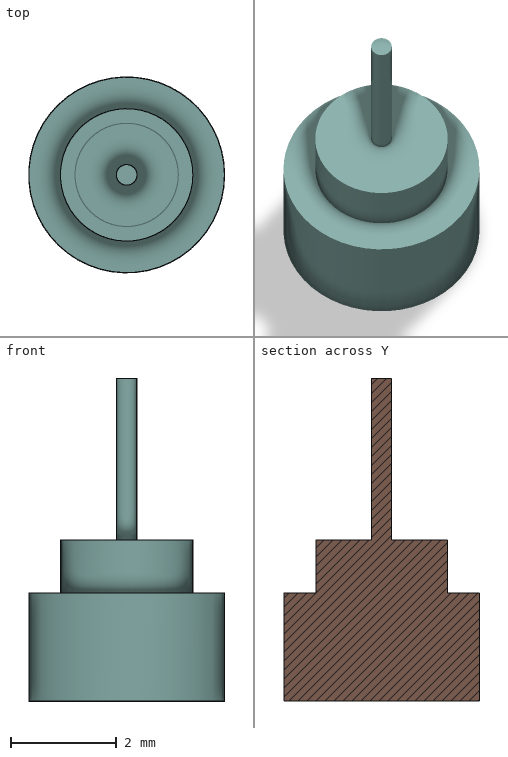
import cadquery as cq

base_diameter = 3.7
base_height = 2.05
collar_diameter = 2.5
collar_height = 1.0
seal_diameter = 1.95
pin_diameter = 0.39
overall_height = 6.1

collar_top = base_height + collar_height
pin_length = overall_height - collar_top


def cylinder(diameter, bottom, height):
    """Upright cylinder on the Z axis, starting at the given level."""
    return cq.Workplane("XY").workplane(offset=bottom).circle(diameter / 2).extrude(height)


def make_shell():
    """Stepped round body, open through the collar for the seal."""
    base = cylinder(base_diameter, 0, base_height)
    collar = cylinder(collar_diameter, base_height, collar_height)
    seal_bore = cylinder(seal_diameter, base_height, collar_height)
    return base.union(collar).cut(seal_bore)


def make_seal():
    """Disc that fills the collar flush with its top."""
    return cylinder(seal_diameter, base_height, collar_height)


def make_pin():
    """Slender lead standing on the seal."""
    return cylinder(pin_diameter, collar_top, pin_length)


result = make_shell().union(make_seal(), clean=False).union(make_pin(), clean=False)